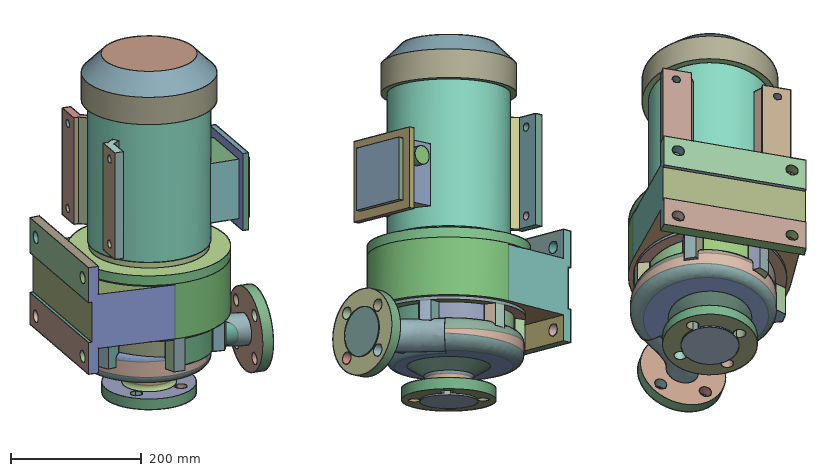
import cadquery as cq
import math


arc_bend = 1 - math.sqrt(0.5)

joint_z = 147.6
motor_flange_radius = 125.0
motor_flange_top = 163.3
neck_radius = 92.5
barrel_bottom = 173.0
barrel_radius = 94.5
hood_bottom = 404.0
hood_radius = 104.0
hood_cone_bottom = 449.0
motor_top = 479.6

box_width = 97.0
box_height = 98.0
box_center_z = 254.0
box_outer_y = 146.3
cover_size = 127.0
cover_thickness = 9.5
cover_inner_y = 128.7
knob_diameter = 29.0
knob_tip_x = -cover_size / 2
knob_y = 112.3
knob_z = 277.7

foot_bottom = 193.4
foot_length = 175.6
foot_outer_x = 101.2
foot_inner_x = 56.5
foot_front_y = -101.0
foot_thickness = 14.0
foot_web_angle = 53.0
foot_web_thickness = 11.2
foot_web_length = 25.0
foot_web_front_y = -93.3
foot_hole_diameter = 12.5
foot_hole_x = 80.0
foot_hole_spacing = 140.0
foot_hole_center_z = foot_bottom + foot_length / 2

housing_radius = motor_flange_radius
housing_bottom = 57.0
saddle_top = 146.0
saddle_taper = 5.0
saddle_front_y = -150.0
plate_thickness = 16.3
plate_bottom = 16.3
plate_top = 192.0
plate_recess_depth = 5.4
plate_recess_bottom = 68.7
plate_recess_top = 134.2
plate_hole_diameter = 19.0
plate_hole_x = 90.0
plate_hole_heights = (37.5, 167.5)

lantern_radius = 117.5
lantern_disc_bottom = 51.8
hub_radius = 100.0
rib_count = 6
rib_tip_width = 18.0
rib_root_width = 32.5
rib_inner_radius = 80.0
rib_bottom = -0.5

volute_half_height = 25.5
volute_inner_radius = 50.0
volute_start_angle = 45.0
volute_start_radius = 95.0
volute_sweep = 270.0
volute_growth = 30.0
volute_start_fillet = 12.0
volute_end_fillet = 22.0
volute_sections = 10

discharge_face_y = 180.0
discharge_raised_height = 1.7
discharge_raised_diameter = 78.0
discharge_flange_diameter = 135.0
discharge_flange_thickness = 18.0
discharge_bolt_circle = 100.0
discharge_neck_radius = 20.0
throat_radius = volute_half_height
flange_hole_diameter = 19.0

suction_face_z = -81.0
suction_raised_height = 2.7
suction_raised_radius = 44.5
suction_flange_diameter = 145.0
suction_flange_top = -60.6
suction_bolt_circle = 105.0
suction_cone_radius = 64.0
suction_neck_radius = 37.0
suction_cone_end_radius = 38.5
suction_cone_bottom = -40.7
suction_neck_top = -45.5
suction_neck_bottom = -52.2
suction_flare_radius = 42.0


def disc(radius, bottom, top):
    """Upright cylinder on the shaft axis between two heights."""
    return cq.Workplane("XY").workplane(offset=bottom).circle(radius).extrude(top - bottom)


def bar(diameter, start_y, length, centers):
    """Cylinders along +Y at the given (x, z) centers."""
    plane = cq.Plane(origin=(0, start_y, 0), xDir=(1, 0, 0), normal=(0, -1, 0))
    return cq.Workplane(plane).pushPoints(centers).circle(diameter / 2).extrude(-length)


def motor_shell():
    shell = disc(motor_flange_radius, joint_z, motor_flange_top)
    shell = shell.union(disc(neck_radius, motor_flange_top, barrel_bottom))
    shell = shell.union(disc(barrel_radius, barrel_bottom, hood_bottom))
    hood = disc(hood_radius, hood_bottom, motor_top)
    hood = hood.faces(">Z").chamfer(motor_top - hood_cone_bottom)
    return shell.union(hood)


def terminal_box():
    box = cq.Workplane("XY").box(box_width, box_outer_y, box_height, centered=(True, False, True))
    cover = cq.Workplane("XY").box(cover_size, cover_thickness, cover_size, centered=(True, False, True))
    box = box.union(cover.translate((0, cover_inner_y, 0))).translate((0, 0, box_center_z))
    knob = (
        cq.Workplane("YZ")
        .center(knob_y, knob_z)
        .circle(knob_diameter / 2)
        .extrude(knob_tip_x)
    )
    return box.union(knob)


def motor_foot():
    """Foot on the -X side: a drilled pad with a web running back to the barrel."""
    pad_width = foot_outer_x - foot_inner_x
    pad = cq.Workplane("XY").box(pad_width, foot_thickness, foot_length, centered=False)
    pad = pad.translate((-foot_outer_x, foot_front_y, foot_bottom))
    web = cq.Workplane("XY").box(foot_web_length, foot_web_thickness, foot_length, centered=False)
    web = web.rotate((0, 0, 0), (0, 0, 1), foot_web_angle)
    web = web.translate((-foot_inner_x, foot_web_front_y, foot_bottom))
    half_spacing = foot_hole_spacing / 2
    hole_centers = [(-foot_hole_x, foot_hole_center_z + side * half_spacing) for side in (-1, 1)]
    return pad.union(web).cut(bar(foot_hole_diameter, foot_front_y, foot_thickness, hole_centers))


def build_motor():
    foot = motor_foot()
    return motor_shell().union(terminal_box()).union(foot).union(foot.mirror("YZ"))


def saddle():
    """Block tangent to the housing with a drilled mounting plate across its front."""
    taper = math.radians(saddle_taper)
    tangent_x = housing_radius * math.cos(taper)
    tangent_y = -housing_radius * math.sin(taper)
    front_x = tangent_x - (tangent_y - saddle_front_y) * math.tan(taper)
    outline = [
        (-tangent_x, tangent_y),
        (-front_x, saddle_front_y),
        (front_x, saddle_front_y),
        (tangent_x, tangent_y),
    ]
    block = cq.Workplane("XY").workplane(offset=plate_bottom).polyline(outline).close()
    block = block.extrude(plate_top - plate_bottom)

    plate_back_y = saddle_front_y + plate_thickness
    profile = [
        (tangent_y, housing_bottom),
        (plate_back_y, housing_bottom),
        (plate_back_y, plate_bottom),
        (saddle_front_y, plate_bottom),
        (saddle_front_y, plate_recess_bottom),
        (saddle_front_y + plate_recess_depth, plate_recess_bottom),
        (saddle_front_y + plate_recess_depth, plate_recess_top),
        (saddle_front_y, plate_recess_top),
        (saddle_front_y, plate_top),
        (plate_back_y, plate_top),
        (plate_back_y, saddle_top),
        (tangent_y, saddle_top),
    ]
    side_shape = cq.Workplane("YZ").polyline(profile).close().extrude(housing_radius, both=True)
    hole_centers = [(side * plate_hole_x, z) for side in (-1, 1) for z in plate_hole_heights]
    holes = bar(plate_hole_diameter, saddle_front_y, plate_thickness, hole_centers)
    return block.intersect(side_shape).cut(holes)


def lantern():
    """Disc and hub below the housing, with tapered ribs reaching down to the volute."""
    body = disc(lantern_radius, lantern_disc_bottom, housing_bottom)
    body = body.union(disc(hub_radius, 0, housing_bottom))
    rib_outline = [
        (rib_inner_radius, -rib_root_width / 2),
        (hub_radius, -rib_root_width / 2),
        (lantern_radius, -rib_tip_width / 2),
        (lantern_radius, rib_tip_width / 2),
        (hub_radius, rib_root_width / 2),
        (rib_inner_radius, rib_root_width / 2),
    ]
    rib = cq.Workplane("XY").workplane(offset=rib_bottom).polyline(rib_outline).close()
    rib = rib.extrude(lantern_disc_bottom - rib_bottom)
    rib = rib.intersect(disc(lantern_radius, rib_bottom, lantern_disc_bottom))
    for index in range(rib_count):
        body = body.union(rib.rotate((0, 0, 0), (0, 0, 1), index * 360 / rib_count))
    return body


def volute_radius(fraction):
    return volute_start_radius + fraction * volute_growth


def volute_section(fraction):
    """Radial D-shaped section of the scroll, a given fraction of the way along it."""
    angle = math.radians(volute_start_angle - fraction * volute_sweep)
    outer = volute_radius(fraction)
    fillet = volute_start_fillet + fraction**2 * (volute_end_fillet - volute_start_fillet)
    half = volute_half_height
    plane = cq.Plane(
        origin=(0, 0, 0),
        xDir=(math.cos(angle), math.sin(angle), 0),
        normal=(math.sin(angle), -math.cos(angle), 0),
    )
    bend = fillet * arc_bend
    section = (
        cq.Workplane(plane)
        .moveTo(volute_inner_radius, -half)
        .lineTo(outer - fillet, -half)
        .threePointArc((outer - bend, -half + bend), (outer, -half + fillet))
        .lineTo(outer, half - fillet)
        .threePointArc((outer - bend, half - bend), (outer - fillet, half))
        .lineTo(volute_inner_radius, half)
        .close()
    )
    return section.val()


def volute():
    last = volute_sections - 1
    sections = [volute_section(index / last) for index in range(volute_sections)]
    scroll = cq.Workplane(cq.Solid.makeLoft(sections))
    core = disc(volute_start_radius, -volute_half_height, volute_half_height)
    core = core.edges().fillet(volute_start_fillet)
    return core.union(scroll)


def flange_holes(bolt_circle):
    """Centers of four holes placed midway between the flange axes."""
    offset = bolt_circle / 2 * math.sqrt(0.5)
    return [(a * offset, b * offset) for a in (-1, 1) for b in (-1, 1)]


def discharge():
    """Flange with a straight neck, and a throat swept to it from the end of the scroll."""
    flange_front_y = discharge_face_y - discharge_raised_height
    flange_back_y = flange_front_y - discharge_flange_thickness
    end_angle = math.radians(volute_start_angle - volute_sweep)
    throat_start_radius = volute_radius(1) - throat_radius
    outward = cq.Vector(math.cos(end_angle), math.sin(end_angle), 0)
    start = outward * throat_start_radius
    start_direction = cq.Vector(math.sin(end_angle), -math.cos(end_angle), 0)
    path = cq.Edge.makeSpline(
        [start, cq.Vector(0, flange_front_y, 0)],
        tangents=[start_direction, cq.Vector(0, 1, 0)],
    )
    throat = cq.Workplane(cq.Plane(start.toTuple(), (0, 0, 1), start_direction.toTuple()))
    throat = throat.circle(throat_radius).sweep(cq.Workplane(path))
    axis = [(0, 0)]
    neck = bar(2 * discharge_neck_radius, 0, flange_front_y, axis)
    flange = bar(discharge_flange_diameter, flange_back_y, discharge_flange_thickness, axis)
    raised_face = bar(discharge_raised_diameter, flange_back_y, discharge_face_y - flange_back_y, axis)
    flange = flange.union(raised_face)
    hole_centers = flange_holes(discharge_bolt_circle)
    flange = flange.cut(bar(flange_hole_diameter, flange_back_y, discharge_flange_thickness, hole_centers))
    return flange.union(neck).union(throat)


def suction():
    """Cone, waisted neck and flange below the volute."""
    flare_height = suction_neck_bottom - suction_flange_top
    flare_width = suction_flare_radius - suction_neck_radius
    mid_flare = (
        suction_neck_radius + flare_width * arc_bend,
        suction_flange_top + flare_height * arc_bend,
    )
    neck = (
        cq.Workplane("XZ")
        .moveTo(0, 0)
        .lineTo(suction_cone_radius, 0)
        .lineTo(suction_cone_radius, -volute_half_height)
        .lineTo(suction_cone_end_radius, suction_cone_bottom)
        .lineTo(suction_neck_radius, suction_neck_top)
        .lineTo(suction_neck_radius, suction_neck_bottom)
        .threePointArc(mid_flare, (suction_flare_radius, suction_flange_top))
        .lineTo(0, suction_flange_top)
        .close()
        .revolve(360, (0, 0, 0), (0, 1, 0))
    )
    flange_bottom = suction_face_z + suction_raised_height
    flange = disc(suction_flange_diameter / 2, flange_bottom, suction_flange_top)
    holes = (
        cq.Workplane("XY")
        .workplane(offset=flange_bottom)
        .pushPoints(flange_holes(suction_bolt_circle))
        .circle(flange_hole_diameter / 2)
        .extrude(suction_flange_top - flange_bottom)
    )
    raised_face = disc(suction_raised_radius, suction_face_z, suction_flange_top)
    return neck.union(flange.cut(holes)).union(raised_face)


def build_pump():
    pump = disc(housing_radius, housing_bottom, joint_z).union(saddle()).union(lantern())
    return pump.union(volute()).union(discharge()).union(suction())


motor = build_motor()
pump = build_pump()

result = cq.Compound.makeCompound([motor.solids().val(), pump.solids().val()])